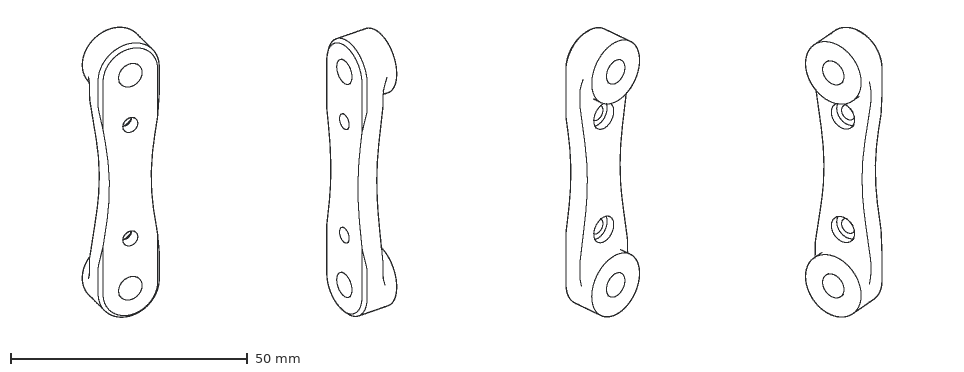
import cadquery as cq
import math

length = 65.8
boss_diameter = 14.4
depth = 8.5
boss_radius = boss_diameter / 2
boss_z = length / 2 - boss_radius

plate_thickness = 4.95
boss_fillet = 1.0
back_chamfer = 0.8
front_x = -depth / 2
back_x = depth / 2
plate_x = back_x - plate_thickness

waist_half_width = 5.05
waist_half_height = 3.95
taper_end_z = 19.2
shoulder_radius = 9.2
taper_angle = math.atan2(boss_radius - waist_half_width, taper_end_z - waist_half_height)

bore_diameter = 5.5
screw_z = 13.7
screw_diameter = 3.5
counterbore_diameter = 6.0
counterbore_depth = 2.0


def rod(diameter, x_start, x_length, z):
    """Cylinder along +X, starting at x_start and centred at height z."""
    return cq.Workplane("YZ", origin=(x_start, 0, z)).circle(diameter / 2).extrude(x_length)


def stadium():
    """Full-depth outline with both ends rounded and the back edge chamfered."""
    body = cq.Workplane("YZ", origin=(front_x, 0, 0)).slot2D(length, boss_diameter, 90).extrude(depth)
    return body.faces(">X").chamfer(back_chamfer)


def boss(end):
    """Boss with a concave fillet flaring onto the plate."""
    foot_radius = boss_radius + boss_fillet
    fillet_x = plate_x - boss_fillet
    fillet_mid = boss_fillet * (1 - math.sqrt(0.5))
    return (
        cq.Workplane("XY")
        .moveTo(front_x, 0)
        .lineTo(front_x, boss_radius)
        .lineTo(fillet_x, boss_radius)
        .threePointArc((plate_x - fillet_mid, boss_radius + fillet_mid), (plate_x, foot_radius))
        .lineTo(plate_x, 0)
        .close()
        .revolve(360, (0, 0, 0), (1, 0, 0))
        .translate((0, 0, end * boss_z))
    )


def waist_cut(side):
    """Material removed beside the waist, with its shoulders rounded."""
    outer_y = side * boss_diameter
    edge_y = side * boss_radius
    waist_y = side * waist_half_width
    tangent = shoulder_radius * math.tan(taper_angle / 2)
    side_z = taper_end_z + tangent
    taper_z = taper_end_z - tangent * math.cos(taper_angle)
    taper_y = side * (boss_radius - tangent * math.sin(taper_angle))
    mid_z = side_z - shoulder_radius * math.sin(taper_angle / 2)
    mid_y = side * (boss_radius - shoulder_radius * (1 - math.cos(taper_angle / 2)))
    waist_points = [(waist_y, -waist_half_height), (waist_y, waist_half_height), (taper_y, taper_z)]
    slope_y = side * math.sin(taper_angle)
    slope_z = math.cos(taper_angle)
    end_tangents = [(-slope_y, slope_z), (slope_y, slope_z)]
    return (
        cq.Workplane("YZ", origin=(front_x, 0, 0))
        .moveTo(outer_y, -side_z)
        .lineTo(edge_y, -side_z)
        .threePointArc((mid_y, -mid_z), (taper_y, -taper_z))
        .spline(waist_points, tangents=end_tangents, includeCurrent=True)
        .threePointArc((mid_y, mid_z), (edge_y, side_z))
        .lineTo(outer_y, side_z)
        .close()
        .extrude(depth)
        .cut(rod(boss_diameter, front_x, depth, boss_z))
        .cut(rod(boss_diameter, front_x, depth, -boss_z))
    )


plate = cq.Workplane("XY").box(plate_thickness, boss_diameter, length)
body = plate.translate((plate_x + plate_thickness / 2, 0, 0))
for end in (-1, 1):
    body = body.union(boss(end))

result = stadium().intersect(body)
for side in (-1, 1):
    result = result.cut(waist_cut(side))
for end in (-1, 1):
    result = result.cut(rod(bore_diameter, front_x, depth, end * boss_z))
    result = result.cut(rod(screw_diameter, front_x, depth, end * screw_z))
    result = result.cut(rod(counterbore_diameter, plate_x, counterbore_depth, end * screw_z))